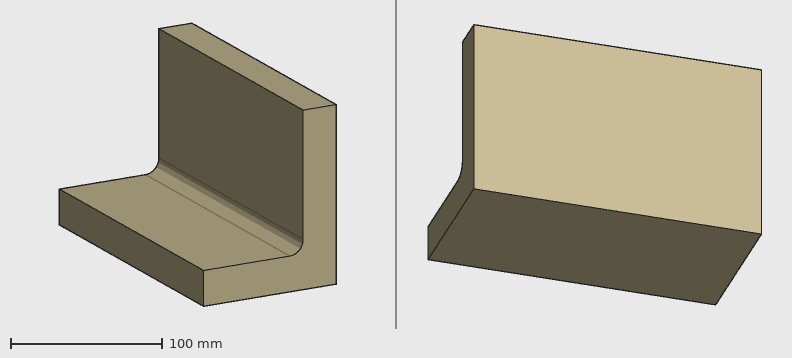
import cadquery as cq

length = 200.0
depth = 100.0
height = 125.0
thickness = 25.0
inner_radius = 10.0

base = cq.Workplane("XY").box(length, depth, thickness, centered=False)

wall = (
    cq.Workplane("XY")
    .box(length, thickness, height, centered=False)
    .translate((0, depth - thickness, 0))
)

inner_corner = cq.selectors.NearestToPointSelector((length / 2, depth - thickness, thickness))
result = base.union(wall).edges(inner_corner).fillet(inner_radius)